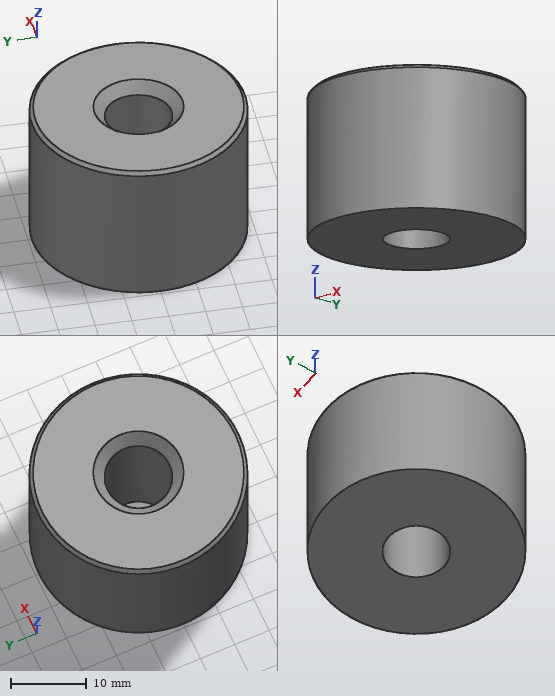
import cadquery as cq

outer_diameter = 29.0
height = 20.0
bore_diameter = 9.0
rim_chamfer = 0.5
mouth_diameter = 12.0
mouth_chamfer = (mouth_diameter - bore_diameter) / 2


def make_body():
    """Solid cylinder with a bevelled top rim."""
    cylinder = cq.Workplane("XY").circle(outer_diameter / 2).extrude(height)
    return cylinder.faces(">Z").edges().chamfer(rim_chamfer)


def cut_bore(body):
    """Through bore on the axis, with a conical countersink at its upper mouth."""
    bored = body.faces(">Z").workplane().hole(bore_diameter)
    mouth_edge = cq.selectors.RadiusNthSelector(0)
    return bored.faces(">Z").edges(mouth_edge).chamfer(mouth_chamfer)


result = cut_bore(make_body())